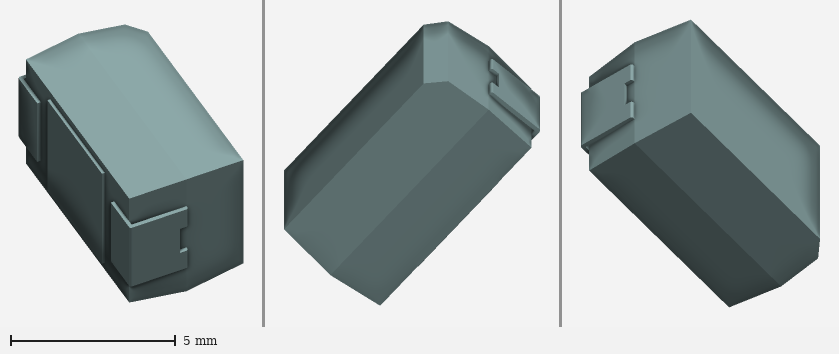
import cadquery as cq
import math

OVERALL_LENGTH = 7.6
BODY_HEIGHT = 4.6
BODY_FRONT_DEPTH = 1.86
BODY_BACK_DEPTH = 2.015
DRAFT_ANGLE = 5.0

BEVEL_LENGTH = 0.52
BEVEL_DEPTH = 0.5

TERMINAL_SIDE_THICKNESS = 0.14
TERMINAL_FOOT_THICKNESS = 0.12
TERMINAL_HEIGHT = 2.41
TERMINAL_FOOT_LENGTH = 1.31
TERMINAL_EDGE_RADIUS = 0.075
NOTCH_HEIGHT = 0.99
NOTCH_DEPTH = 0.29

PAD_SIZE = 3.7
PAD_THICKNESS = 0.1

BODY_LENGTH = OVERALL_LENGTH - 2 * TERMINAL_SIDE_THICKNESS


def make_body_half(direction, depth):
    """Half of the moulded body, tapering from Y = 0 along direction * Y."""
    inset = depth * math.tan(math.radians(DRAFT_ANGLE))
    return (
        cq.Workplane("XZ")
        .rect(BODY_LENGTH, BODY_HEIGHT)
        .workplane(offset=-direction * depth)
        .rect(BODY_LENGTH - 2 * inset, BODY_HEIGHT - 2 * inset)
        .loft(ruled=True, combine=True)
    )


def make_bevel_cutter():
    """Triangular prism that removes the back edge at the -X end."""
    draft = math.tan(math.radians(DRAFT_ANGLE))
    corner_x = -BODY_LENGTH / 2 + BODY_BACK_DEPTH * draft
    side_y = BODY_BACK_DEPTH - BEVEL_DEPTH
    side_x = corner_x - BEVEL_DEPTH * draft
    back_x = corner_x + BEVEL_LENGTH
    run = back_x - side_x
    return (
        cq.Workplane("XY")
        .moveTo(side_x - run, side_y - BEVEL_DEPTH)
        .lineTo(back_x + run, BODY_BACK_DEPTH + BEVEL_DEPTH)
        .lineTo(side_x - run, BODY_BACK_DEPTH + BEVEL_DEPTH)
        .close()
        .extrude(BODY_HEIGHT, both=True)
    )


def make_body():
    front_half = make_body_half(-1, BODY_FRONT_DEPTH)
    back_half = make_body_half(1, BODY_BACK_DEPTH)
    return front_half.union(back_half).cut(make_bevel_cutter())


def make_terminal(side):
    """L-shaped terminal at the end of the body given by side (-1 or 1)."""
    outer_x = side * OVERALL_LENGTH / 2
    inner_x = side * BODY_LENGTH / 2
    foot_x = side * (OVERALL_LENGTH / 2 - TERMINAL_FOOT_LENGTH)
    foot_y = -BODY_FRONT_DEPTH - TERMINAL_FOOT_THICKNESS
    profile = [
        (inner_x, 0),
        (outer_x, 0),
        (outer_x, foot_y),
        (foot_x, foot_y),
        (foot_x, -BODY_FRONT_DEPTH),
        (inner_x, -BODY_FRONT_DEPTH),
    ]
    outer_edges = "|Z and <X" if side < 0 else "|Z and >X"
    notch = cq.Workplane("XY").box(
        2 * TERMINAL_SIDE_THICKNESS, 2 * NOTCH_DEPTH, NOTCH_HEIGHT
    ).translate(((outer_x + inner_x) / 2, 0, 0))
    return (
        cq.Workplane("XY")
        .polyline(profile)
        .close()
        .extrude(TERMINAL_HEIGHT / 2, both=True)
        .edges(outer_edges)
        .fillet(TERMINAL_EDGE_RADIUS)
        .cut(notch)
    )


def make_pad():
    pad_y = -BODY_FRONT_DEPTH - PAD_THICKNESS / 2
    return cq.Workplane("XY").box(PAD_SIZE, PAD_THICKNESS, PAD_SIZE).translate((0, pad_y, 0))


body = make_body()
terminals = [make_terminal(side) for side in (-1, 1)]
pad = make_pad()

result = cq.Compound.makeCompound(
    [body.val(), *[terminal.val() for terminal in terminals], pad.val()]
)